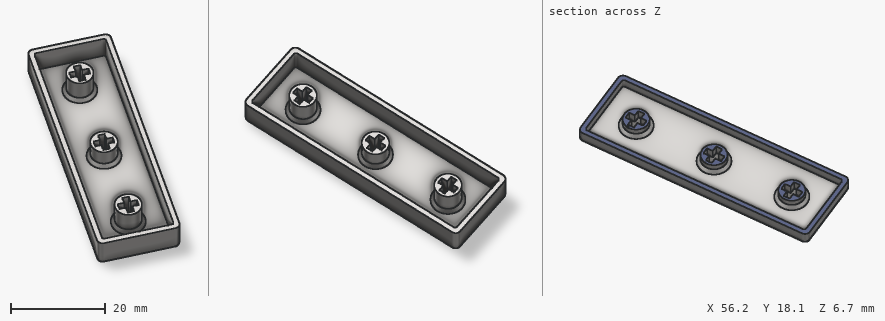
import cadquery as cq

LENGTH = 56.15
WIDTH = 18.05
HEIGHT = 6.7
CORNER_RADIUS = 1.2
BOTTOM_EDGE_CLEARANCE = 0.01
BOTTOM_EDGE_RADIUS = CORNER_RADIUS - BOTTOM_EDGE_CLEARANCE
WALL = 1.2
FLOOR = 1.25
CAVITY_CORNER_RADIUS = 0.5

STEM_PITCH = 19.05
STEM_DIAMETER = 5.8
OUTER_STEM_TOP = HEIGHT
MIDDLE_STEM_DROP = 1.0
MIDDLE_STEM_TOP = OUTER_STEM_TOP - MIDDLE_STEM_DROP
FLARE = 0.8

CROSS_SPAN = 4.2
CROSS_SLOT = 1.4

STEMS = [
    (-STEM_PITCH, OUTER_STEM_TOP),
    (0, MIDDLE_STEM_TOP),
    (STEM_PITCH, OUTER_STEM_TOP),
]


def make_shell():
    """Open-topped tray with rounded corners and a rounded bottom edge."""
    body = (
        cq.Workplane("XY")
        .box(LENGTH, WIDTH, HEIGHT, centered=(True, True, False))
        .edges("|Z")
        .fillet(CORNER_RADIUS)
        .faces("<Z")
        .edges()
        .fillet(BOTTOM_EDGE_RADIUS)
    )
    cavity = (
        cq.Workplane("XY", origin=(0, 0, FLOOR))
        .box(LENGTH - 2 * WALL, WIDTH - 2 * WALL, HEIGHT - FLOOR, centered=(True, True, False))
        .edges("|Z")
        .fillet(CAVITY_CORNER_RADIUS)
    )
    return body.cut(cavity)


def make_stem(x, top):
    """Round post, widening into a cone at the floor, with a crossed slot sunk into it."""
    height = top - FLOOR
    radius = STEM_DIAMETER / 2
    profile = [
        (0, 0),
        (0, height),
        (radius, height),
        (radius, FLARE),
        (radius + FLARE, 0),
    ]
    post = cq.Workplane("XZ").polyline(profile).close().revolve(360, (0, 0), (0, 1))
    slot_along_x = cq.Workplane("XY").rect(CROSS_SPAN, CROSS_SLOT).extrude(height)
    slot_along_y = cq.Workplane("XY").rect(CROSS_SLOT, CROSS_SPAN).extrude(height)
    return post.cut(slot_along_x).cut(slot_along_y).translate((x, 0, FLOOR))


result = make_shell()
for stem_x, stem_top in STEMS:
    result = result.union(make_stem(stem_x, stem_top))